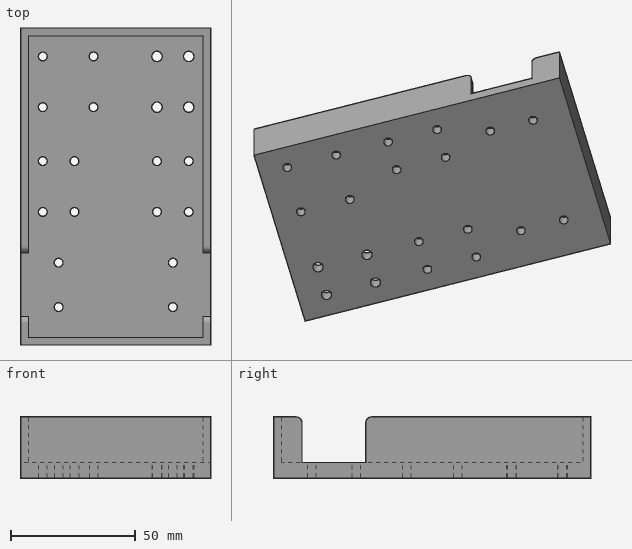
import cadquery as cq

width = 76.2
length = 127.0
height = 24.6
wall = 3.2
floor = 6.4

notch_front = -52.1
notch_length = 25.4
notch_corner_radius = 2.5

small_hole = 3.4
large_hole = 4.1
left_column = -29.2
right_column = 29.2
inner_right_column = 16.5
back_pattern_column = -8.9
middle_pattern_column = -16.5
front_pattern_column = 22.9
back_rows = (52.1, 31.8)
middle_rows = (10.2, -10.2)
front_rows = (-30.5, -48.3)


def grid(columns, rows):
    """Return the points where the columns and rows cross."""
    return [(x, y) for x in columns for y in rows]


def make_tray():
    """Open box with a thick floor."""
    block = cq.Workplane("XY").box(width, length, height, centered=(True, True, False))
    cavity = (
        cq.Workplane("XY")
        .workplane(offset=floor)
        .rect(width - 2 * wall, length - 2 * wall)
        .extrude(height - floor)
    )
    return block.cut(cavity)


def make_notch():
    """Opening across the full width, flaring outward where it meets the rim."""
    notch_back = notch_front + notch_length
    radius = notch_corner_radius
    return (
        cq.Workplane("YZ")
        .moveTo(notch_front, floor)
        .lineTo(notch_back, floor)
        .lineTo(notch_back, height - radius)
        .radiusArc((notch_back + radius, height), radius)
        .lineTo(notch_front - radius, height)
        .radiusArc((notch_front, height - radius), radius)
        .close()
        .extrude(width / 2, both=True)
    )


def make_holes(points, diameter):
    """Cylinders that pass through the floor."""
    return cq.Workplane("XY").pushPoints(points).circle(diameter / 2).extrude(floor)


small_points = (
    grid((left_column, back_pattern_column), back_rows)
    + grid((left_column, middle_pattern_column, inner_right_column, right_column), middle_rows)
    + grid((-front_pattern_column, front_pattern_column), front_rows)
)
large_points = grid((inner_right_column, right_column), back_rows)

result = (
    make_tray()
    .cut(make_notch())
    .cut(make_holes(small_points, small_hole))
    .cut(make_holes(large_points, large_hole))
)